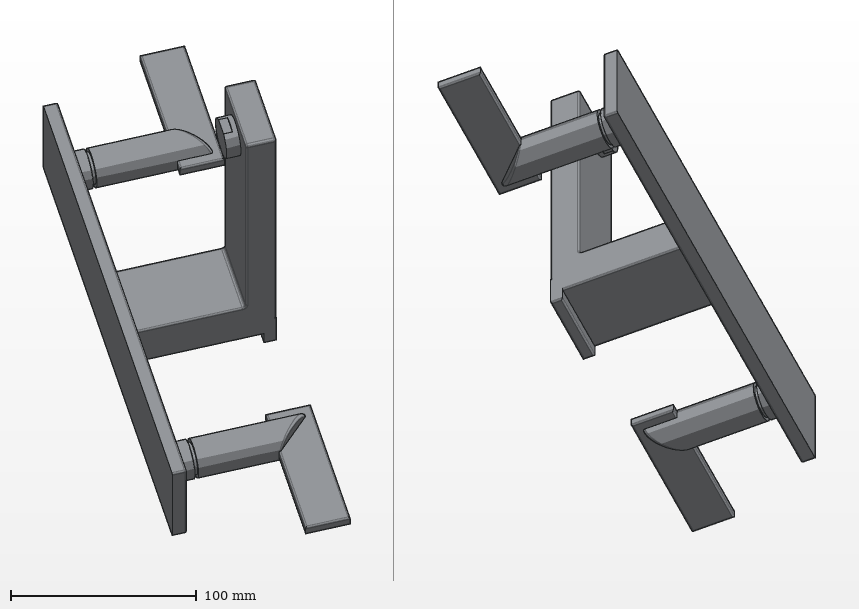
import cadquery as cq


OVERALL_WIDTH = 333.2
OVERALL_DEPTH = 89.3
OVERALL_HEIGHT = 184.0

PLATE_WIDTH = 260.0
PLATE_HEIGHT = 55.0
PLATE_THICKNESS = 8.0
MID_HEIGHT = PLATE_HEIGHT / 2

EDGE_RADIUS = 1.0

SPOUT_WIDTH = 43.0
SPOUT_THICKNESS = 17.0
SPOUT_BACK = 88.3
SPOUT_FRONT = SPOUT_BACK - SPOUT_THICKNESS
ARM_HEIGHT = 27.0
ARM_BOTTOM = MID_HEIGHT - ARM_HEIGHT / 2
ARM_TOP = MID_HEIGHT + ARM_HEIGHT / 2
LIP_THICKNESS = 7.0
LIP_BOTTOM = 6.0
LIP_TOP = 26.3
INNER_CORNER_RADIUS = 2.0
TIP_SIDE_RADIUS = 1.5

AERATOR_HEIGHT = 167.0
AERATOR_DIAMETER = 22.5
AERATOR_LENGTH = 8.0
FLAT_LENGTH = 5.0
FLAT_SPACING = 20.3

STEM_X = 102.3
STEM_DIAMETER = 22.0
STEM_RADIUS = STEM_DIAMETER / 2
GROOVE_CENTER = 18.3
GROOVE_WIDTH = 2.0
GROOVE_DEPTH = 2.0
LEVER_WIDTH = 25.0
LEVER_THICKNESS = 6.0
LEVER_MID_HEIGHT = 28.0
LEVER_INNER_END = 86.3
MITRE_START = 65.0
MITRE_EDGE_RADIUS = 1.3
LEVER_FRONT = OVERALL_DEPTH - LEVER_WIDTH


def box(x_range, y_range, z_range):
    """Box spanning the given (low, high) range on each axis."""
    ranges = (x_range, y_range, z_range)
    sizes = [high - low for low, high in ranges]
    corner = tuple(low for low, high in ranges)
    return cq.Workplane("XY").box(*sizes, centered=False).translate(corner)


def cylinder_along_y(x, z, diameter, y_start, y_end):
    """Round bar running in +Y from y_start to y_end."""
    plane = cq.Plane(origin=(x, y_start, z), xDir=(1, 0, 0), normal=(0, 1, 0))
    return cq.Workplane(plane).circle(diameter / 2).extrude(y_end - y_start)


def make_plate():
    """Wall plate rounded at its four corners and around its inner face."""
    half_width = PLATE_WIDTH / 2
    plate = box((-half_width, half_width), (0, PLATE_THICKNESS), (0, PLATE_HEIGHT))
    return plate.edges("|Y or >Y").fillet(EDGE_RADIUS)


def make_spout():
    """L-shaped body rounded along both sides and at the tip, with a lip at the foot of its back face."""
    half_width = SPOUT_WIDTH / 2
    profile = [
        (0, ARM_BOTTOM),
        (SPOUT_BACK, ARM_BOTTOM),
        (SPOUT_BACK, OVERALL_HEIGHT),
        (SPOUT_FRONT, OVERALL_HEIGHT),
        (SPOUT_FRONT, ARM_TOP),
        (0, ARM_TOP),
    ]
    body = cq.Workplane("YZ").polyline(profile).close().extrude(half_width, both=True)
    inner_corner = cq.selectors.NearestToPointSelector((0, SPOUT_FRONT, ARM_TOP))
    body = body.edges(inner_corner).fillet(INNER_CORNER_RADIUS)
    body = body.faces(">Z").edges("|Y").fillet(TIP_SIDE_RADIUS)
    body = body.faces("<X or >X or >Z").edges().fillet(EDGE_RADIUS)

    lip = box((-half_width, half_width), (SPOUT_BACK - LIP_THICKNESS, SPOUT_BACK), (LIP_BOTTOM, LIP_TOP))
    lip = lip.faces("<Z").edges().fillet(EDGE_RADIUS)
    return body.union(lip)


def make_aerator():
    """Round outlet with two wrench flats at its free end."""
    y_end = SPOUT_FRONT - AERATOR_LENGTH
    radius = AERATOR_DIAMETER / 2
    aerator = cylinder_along_y(0, AERATOR_HEIGHT, AERATOR_DIAMETER, y_end, SPOUT_FRONT)
    for side in (-1, 1):
        flat_z = AERATOR_HEIGHT + side * FLAT_SPACING / 2
        rim_z = AERATOR_HEIGHT + side * radius
        z_range = sorted((flat_z, rim_z))
        aerator = aerator.cut(box((-radius, radius), (y_end, y_end + FLAT_LENGTH), z_range))
    return aerator


def make_stem():
    """Left-hand stem, mitred at 45 degrees where it meets the lever and grooved near the plate."""
    outer_x = -STEM_X - STEM_RADIUS
    inner_x = -STEM_X + STEM_RADIUS
    mitre_outline = [
        (outer_x, 0),
        (inner_x, 0),
        (inner_x, MITRE_START + STEM_DIAMETER),
        (outer_x, MITRE_START),
    ]
    mitred_block = cq.Workplane("XY").polyline(mitre_outline).close().extrude(PLATE_HEIGHT)
    stem = cylinder_along_y(-STEM_X, MID_HEIGHT, STEM_DIAMETER, 0, OVERALL_DEPTH).intersect(mitred_block)
    stem = stem.faces(">(-1, 1, 0)").edges().fillet(MITRE_EDGE_RADIUS)

    groove_start = GROOVE_CENTER - GROOVE_WIDTH / 2
    groove_end = GROOVE_CENTER + GROOVE_WIDTH / 2
    core_diameter = STEM_DIAMETER - 2 * GROOVE_DEPTH
    ring = cylinder_along_y(-STEM_X, MID_HEIGHT, STEM_DIAMETER, groove_start, groove_end)
    core = cylinder_along_y(-STEM_X, MID_HEIGHT, core_diameter, groove_start, groove_end)
    return stem.cut(ring.cut(core))


def make_lever():
    """Left-hand flat lever reaching out past the wall plate."""
    half_thickness = LEVER_THICKNESS / 2
    lever = box(
        (-OVERALL_WIDTH / 2, -LEVER_INNER_END),
        (LEVER_FRONT, OVERALL_DEPTH),
        (LEVER_MID_HEIGHT - half_thickness, LEVER_MID_HEIGHT + half_thickness),
    )
    return lever.faces("<Z or >Z").edges().fillet(EDGE_RADIUS)


left_handle = make_stem().union(make_lever())
right_handle = left_handle.mirror("YZ")

result = make_plate()
for component in (make_spout(), make_aerator(), left_handle, right_handle):
    result = result.union(component)